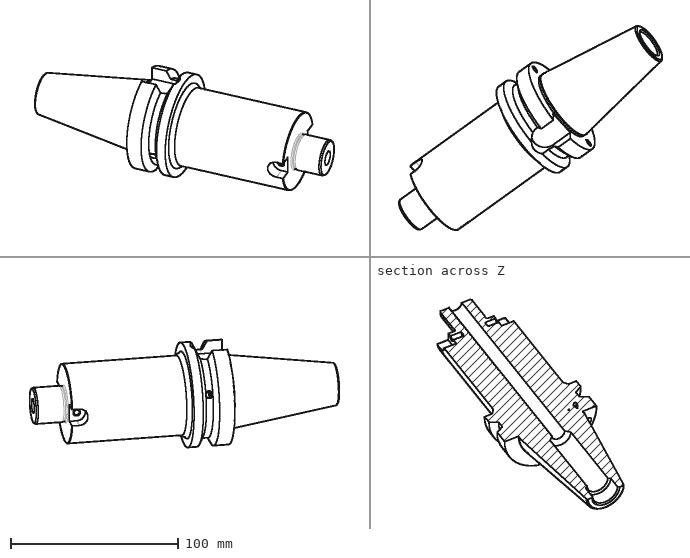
import cadquery as cq
import math

total_length = 184.4

taper_end_x = 65.6
taper_big_radius = 22.3
taper_ratio = 7 / 48
taper_small_radius = taper_big_radius - taper_ratio * taper_end_x
shank_edge = 0.7
neck_radius = 22.1
neck_step = 0.5

flange_start_x = 67.5
flange_end_x = 92.4
flange_radius = 31.5
groove_radius = 26.5
groove_floor_start_x = 79.7
groove_floor_end_x = 83.9
groove_slope = math.tan(math.radians(30))
groove_flank_run = (flange_radius - groove_radius) * groove_slope

shoulder_radius = 26.2
shoulder_end_x = 95.3
body_radius = 24.0
body_end_x = 165.2
body_edge = 0.4
face_fillet_radius = 0.7

pilot_diameter = 22.0
pilot_radius = pilot_diameter / 2
undercut_radius = 10.7
undercut_end_x = 166.7
pilot_start_x = 167.8
pilot_chamfer = 1.1
pilot_chamfer_depth = 0.5

bore_radius = 8.5
bore_mouth_chamfer = 1.0
bore_depth = 9.2
core_lead_in = 1.0
core_radius = 7.0
core_end_x = 55.3
through_radius = 4.2
drill_point_run = core_radius - through_radius

keyway_width = 16.0
keyway_end_x = 88.5
keyway_floor = 22.5

slot_width = 10.5
slot_center_x = 160.8
slot_floor = 15.7
screw_hole_radius = 1.7
screw_hole_depth = 7.4
screw_mouth_diameter = 4.2
screw_mouth_radius = screw_mouth_diameter / 2
screw_mouth_depth = screw_mouth_radius - screw_hole_radius

coolant_angle = 20.0
coolant_diameter = 4.2
coolant_radius = coolant_diameter / 2
coolant_inlet_radius = 27.3
coolant_tilt = math.radians(20)
outlet_x = (groove_floor_start_x + groove_floor_end_x) / 2
outlet_bottom_radius = 20.3


def revolve_about_x(profile):
    return profile.close().revolve(360, (0, 0, 0), (1, 0, 0))


def make_body():
    fillet_end_x = body_end_x + face_fillet_radius
    fillet_mid_x = fillet_end_x - face_fillet_radius * math.sqrt(0.5)
    fillet_mid_radius = undercut_radius + face_fillet_radius * (1 - math.sqrt(0.5))
    profile = (
        cq.Workplane("XY")
        .lineTo(0, taper_small_radius - shank_edge)
        .lineTo(shank_edge, taper_small_radius + taper_ratio * shank_edge)
        .lineTo(taper_end_x, taper_big_radius)
        .lineTo(taper_end_x + neck_step, neck_radius)
        .lineTo(flange_start_x, neck_radius)
        .lineTo(flange_start_x, flange_radius)
        .lineTo(groove_floor_start_x - groove_flank_run, flange_radius)
        .lineTo(groove_floor_start_x, groove_radius)
        .lineTo(groove_floor_end_x, groove_radius)
        .lineTo(groove_floor_end_x + groove_flank_run, flange_radius)
        .lineTo(flange_end_x, flange_radius)
        .lineTo(flange_end_x, shoulder_radius)
        .lineTo(shoulder_end_x, body_radius)
        .lineTo(body_end_x - body_edge, body_radius)
        .lineTo(body_end_x, body_radius - body_edge)
        .lineTo(body_end_x, undercut_radius + face_fillet_radius)
        .threePointArc((fillet_mid_x, fillet_mid_radius), (fillet_end_x, undercut_radius))
        .lineTo(undercut_end_x, undercut_radius)
        .lineTo(pilot_start_x, pilot_radius)
        .lineTo(total_length - pilot_chamfer, pilot_radius)
        .lineTo(total_length, pilot_radius - pilot_chamfer_depth)
        .lineTo(total_length, 0)
    )
    return revolve_about_x(profile)


def make_bore():
    profile = (
        cq.Workplane("XY")
        .lineTo(0, bore_radius + bore_mouth_chamfer)
        .lineTo(bore_mouth_chamfer, bore_radius)
        .lineTo(bore_depth, bore_radius)
        .lineTo(bore_depth + core_lead_in, core_radius)
        .lineTo(core_end_x, core_radius)
        .lineTo(core_end_x + drill_point_run, through_radius)
        .lineTo(total_length, through_radius)
        .lineTo(total_length, 0)
    )
    return revolve_about_x(profile)


def make_keyway():
    """Round-ended keyway on the +Z side, open toward the shank."""
    end_radius = keyway_width / 2
    center_x = keyway_end_x - end_radius
    height = flange_radius
    straight = (
        cq.Workplane("XY", origin=(0, 0, keyway_floor))
        .rect(center_x - flange_start_x, keyway_width)
        .extrude(height)
        .translate(((center_x + flange_start_x) / 2, 0, 0))
    )
    rounded = cq.Workplane("XY", origin=(center_x, 0, keyway_floor)).circle(end_radius).extrude(height)
    return straight.union(rounded)


def make_driver_slot():
    """Round-ended slot on the -Y side with a screw hole in its floor."""
    end_radius = slot_width / 2
    length = total_length - slot_center_x
    floor = cq.Workplane("XZ", origin=(slot_center_x, -slot_floor, 0))
    straight = floor.center(length / 2, 0).rect(length, slot_width).extrude(body_radius)
    rounded = floor.circle(end_radius).extrude(body_radius)
    hole = floor.circle(screw_hole_radius).extrude(-screw_hole_depth)
    mouth = floor.circle(screw_mouth_radius).workplane(offset=-screw_mouth_depth)
    mouth = mouth.circle(screw_hole_radius).loft()
    return straight.union(rounded).union(hole).union(mouth)


def make_coolant_passage():
    """Inclined inlet from the flange face meeting a radial hole in the groove."""
    inlet_length = (outlet_x - flange_start_x) / math.cos(coolant_tilt)
    direction = cq.Vector(math.cos(coolant_tilt), -math.sin(coolant_tilt), 0)
    face_point = cq.Vector(flange_start_x, coolant_inlet_radius, 0)
    lead_in = coolant_radius
    inlet = cq.Solid.makeCylinder(
        coolant_radius, inlet_length + lead_in, face_point - direction * lead_in, direction
    )
    outlet = cq.Solid.makeCylinder(
        coolant_radius,
        groove_radius + coolant_radius - outlet_bottom_radius,
        cq.Vector(outlet_x, outlet_bottom_radius, 0),
        cq.Vector(0, 1, 0),
    )
    passage = cq.Workplane(inlet).union(cq.Workplane(outlet))
    return passage.rotate((0, 0, 0), (1, 0, 0), coolant_angle)


result = make_body().cut(make_bore())
for feature in (make_keyway(), make_driver_slot(), make_coolant_passage()):
    opposite = feature.rotate((0, 0, 0), (1, 0, 0), 180)
    result = result.cut(feature).cut(opposite)